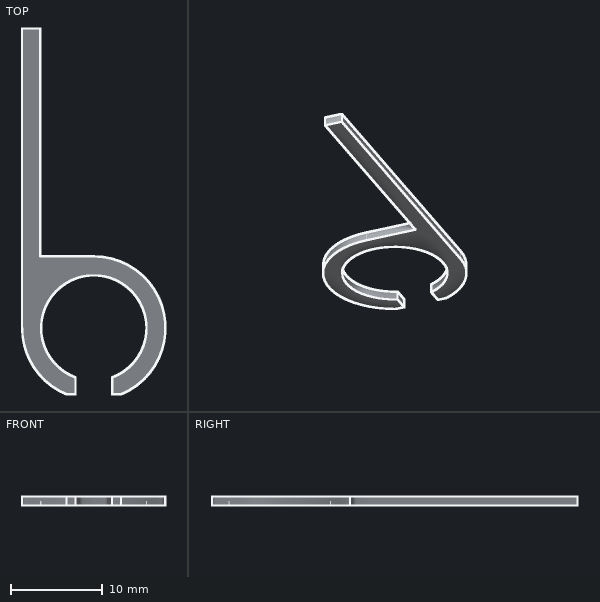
import cadquery as cq
import math

thickness = 1.0
overall_length = 40.0
ring_outer_diameter = 15.7
ring_inner_diameter = 11.5
arm_width = 2.0
gap_width = 4.0
tip_flat_width = 1.0

outer_radius = ring_outer_diameter / 2
inner_radius = ring_inner_diameter / 2
half_gap = gap_width / 2
tip_x = half_gap + tip_flat_width
tip_y = -math.sqrt(outer_radius**2 - tip_x**2)
gap_inner_y = -math.sqrt(inner_radius**2 - half_gap**2)
arm_outer_x = -outer_radius
arm_inner_x = arm_outer_x + arm_width
arm_end_y = tip_y + overall_length
diagonal = outer_radius * math.sqrt(0.5)


def make_clip():
    """Open ring with a straight arm tangent to its -X side and a filled corner between them."""
    outline = (
        cq.Workplane("XY")
        .moveTo(arm_outer_x, arm_end_y)
        .lineTo(arm_inner_x, arm_end_y)
        .lineTo(arm_inner_x, outer_radius)
        .lineTo(0, outer_radius)
        .threePointArc((outer_radius, 0), (tip_x, tip_y))
        .lineTo(half_gap, tip_y)
        .lineTo(half_gap, gap_inner_y)
        .threePointArc((0, inner_radius), (-half_gap, gap_inner_y))
        .lineTo(-half_gap, tip_y)
        .lineTo(-tip_x, tip_y)
        .threePointArc((-diagonal, -diagonal), (arm_outer_x, 0))
        .close()
    )
    return outline.extrude(thickness)


result = make_clip()